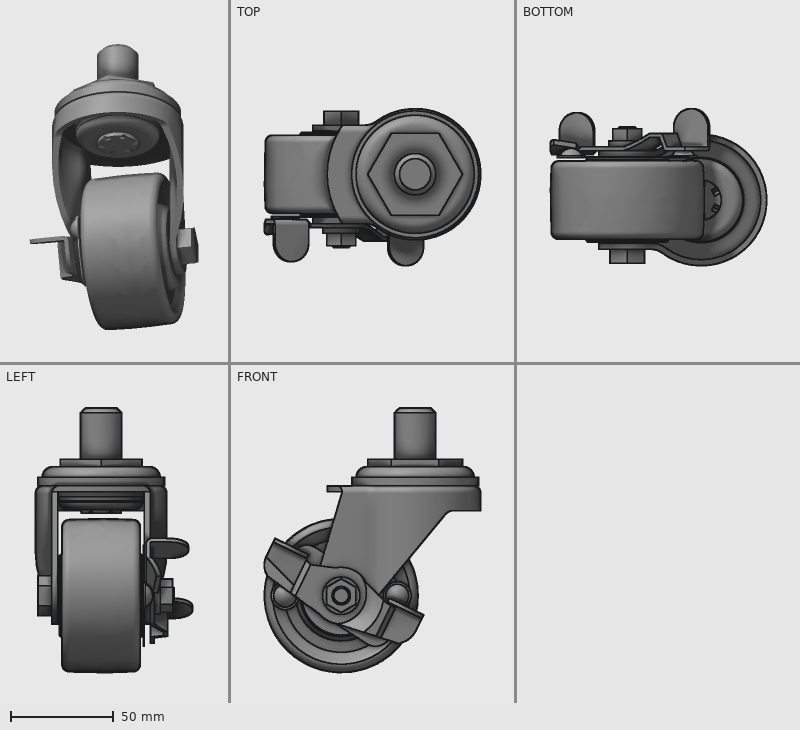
import cadquery as cq
import math


WHEEL_RADIUS = 37.5
AXLE_X = -36.0
AXLE_Z = WHEEL_RADIUS
AXLE_RADIUS = 5.0
TOTAL_HEIGHT = 129.0

SHEET = 3.0
FORK_RADIUS = 32.0
FORK_HALF_WIDTH = 24.0
FORK_TOP = 91.0
FORK_SKIRT_BOTTOM = 78.85
FORK_BEND = 3.6
LIP_RADIUS = 42.8
ARM_FLAT_END_X = -24.3
ARM_END_RADIUS = 13.9
ARM_FRONT_TOP_X = -35.6
SKIRT_CORNER_X = 16.2
SKIRT_CORNER_ROUND = 5.0
FORK_INNER = FORK_HALF_WIDTH - SHEET

STEM_RADIUS = 10.1
STEM_CHAMFER = 2.5
HEX_FLATS = 40.0
HEX_TOP = 104.0
HEX_BOTTOM = 100.4
CUP_RADIUS = 28.8
CUP_TOP_RADIUS = 23.0
RING_RADIUS = 30.9
RING_TOP = 95.2
LOWER_RACE_RADIUS = 20.8
LOWER_CUP_RADIUS = 20.3
LOWER_RACE_BOTTOM = 85.7
LOWER_GROOVE_TOP = 83.6
LOWER_GROOVE_BOTTOM = 83.0
LOWER_GROOVE_DEPTH = 1.0
LOWER_CUP_BOTTOM = 79.3
LOWER_CUP_BOTTOM_RADIUS = 15.5
RIVET_RADIUS = 9.8
RIVET_BOTTOM = 77.6
STAKE_COUNT = 6
STAKE_WIDTH = 3.3
STAKE_DEPTH = 1.1
STAKE_LENGTH = 3.0

TREAD_HALF_WIDTH = 19.1
TREAD_EDGE_HALF_WIDTH = 15.4
TREAD_EDGE_RADIUS = 37.1
TYRE_INNER_RADIUS = 33.4
RIM_STEP_RADIUS = 31.8
RIM_STEP_HALF_WIDTH = 18.0
RIM_RADIUS = 29.5
RIM_HALF_WIDTH = 16.8
WEB_OUTER_RADIUS = 27.6
WEB_INNER_RADIUS = 22.1
WEB_HALF_WIDTH = 15.5
HUB_RADIUS = 20.0
HUB_HALF_WIDTH = 20.5
HUB_CHAMFER = 0.8

BOLT_HEAD_FLATS = 17.0
BOLT_HEAD_END = 30.8
NUT_FLATS = 14.2
NUT_END = 34.8
FLANGE_RADIUS = 9.1
FLANGE_END = 28.8
BOLT_END = 35.7
BOLT_END_CHAMFER = 1.4

PEDAL_TILT = 26.0
PEDAL_SHEET = 2.0
PEDAL_HUB_RADIUS = 13.8
PEDAL_BASE = FORK_HALF_WIDTH
PEDAL_REAR_BASE = 22.0
NECK_U = 20.0
NECK_V = 7.0
END_SIDE_V = 0.5
END_CORNER_SETBACK = 4.9
END_BULGE = 0.64
REAR_TAB_START = 22.9
REAR_REACH = 41.2
REAR_CORNER_V = -7.2
REAR_TAB_TOP = 11.0
REAR_TAB_LENGTH = 42.6
FRONT_TAB_START = 21.6
FRONT_REACH = 40.2
FRONT_CORNER_V = -8.7
FRONT_TAB_TOP = 9.2
FRONT_TAB_LENGTH = 44.56
TAB_BEND = 2.8
RAMP_CENTRE_U = -3.0
RAMP_START_RADIUS = 15.0
RAMP_END_RADIUS = 23.5
RIDGE_END_U = 22.5
RETURN_END_U = 25.0
RETURN_SHIFT = 1.4
RIDGE_BASE = 30.5
FLAP_START = (-REAR_REACH, 0.9)
FLAP_DIRECTION = -19.4
FLAP_ANGLE = 39.0
FLAP_LENGTH = 12.0

SPRING_TILT = 32.9
SPRING_LENGTH = 62.0
SPRING_WIDTH = 25.8
SPRING_CORNER = 8.0
DOME_OFFSET = 27.3
DOME_RADIUS = 5.6
DOME_BASE_RADIUS = 6.8
DOME_BASE_END = 21.6
DOME_END = 25.2

QUARTER_BULGE = math.sqrt(0.5)
BEYOND = 100.0


def axle_cylinder(radius, y_from, y_to):
    """Cylinder on the wheel axle between two Y positions."""
    plane = cq.Workplane("XZ", origin=(AXLE_X, y_to, AXLE_Z))
    return plane.circle(radius).extrude(y_to - y_from)


def axle_hexagon(flats, y_from, y_to):
    """Hexagonal prism on the wheel axle with corners up and down."""
    corner_diameter = flats / math.cos(math.pi / 6)
    plane = cq.Workplane("XZ", origin=(AXLE_X, y_to, AXLE_Z))
    return plane.transformed(rotate=(0, 0, 90)).polygon(6, corner_diameter).extrude(y_to - y_from)


def bulge_point(face_end, side_end):
    """Middle of a rounded edge from an end face (smaller radius) to an outer side (larger radius)."""
    return (
        face_end[0] + QUARTER_BULGE * (side_end[0] - face_end[0]),
        side_end[1] + QUARTER_BULGE * (face_end[1] - side_end[1]),
    )


def lever_location(tilt):
    """Places a shape drawn in lever axes (u, v, w) on the axle, tilted down toward +X."""
    angle = math.radians(tilt)
    u_axis = (math.cos(angle), 0, -math.sin(angle))
    return cq.Plane(origin=(AXLE_X, 0, AXLE_Z), xDir=u_axis, normal=(0, -1, 0)).location


def fork_block(inset, top, front_x, bend):
    """Block with the fork's plan outline, moved inward by inset, running forward to front_x."""
    half_width = FORK_HALF_WIDTH - inset
    radius = FORK_RADIUS - inset
    flat_x = ARM_FLAT_END_X
    blend = (flat_x**2 + half_width**2 - radius**2) / (2 * (radius - half_width))
    blend_centre_y = half_width + blend
    scale = radius / (radius + blend)
    skirt_x = flat_x * scale
    skirt_y = blend_centre_y * scale
    start_angle = -math.pi / 2
    end_angle = math.atan2(-blend_centre_y, -flat_x)
    middle_angle = (start_angle + end_angle) / 2
    middle_x = flat_x + blend * math.cos(middle_angle)
    middle_y = blend_centre_y + blend * math.sin(middle_angle)
    block = (
        cq.Workplane("XY")
        .moveTo(front_x, half_width)
        .lineTo(flat_x, half_width)
        .threePointArc((middle_x, middle_y), (skirt_x, skirt_y))
        .threePointArc((radius, 0), (skirt_x, -skirt_y))
        .threePointArc((middle_x, -middle_y), (flat_x, -half_width))
        .lineTo(front_x, -half_width)
        .close()
        .extrude(top)
    )
    return block.faces(">Z").edges("not <X").fillet(bend)


def fork_side_profile():
    """Side outline of the fork: lip, raked arm, round arm end and sloping skirt edge."""
    top_z = FORK_TOP - SHEET
    arm_top = (ARM_FRONT_TOP_X, top_z)
    corner = (SKIRT_CORNER_X, FORK_SKIRT_BOTTOM)

    def tangent_angle(point, side):
        """Angle on the arm end where the straight edge from point touches it."""
        dx = point[0] - AXLE_X
        dz = point[1] - AXLE_Z
        return math.atan2(dz, dx) + side * math.acos(ARM_END_RADIUS / math.hypot(dx, dz))

    def on_arm_end(angle):
        return (AXLE_X + ARM_END_RADIUS * math.cos(angle), AXLE_Z + ARM_END_RADIUS * math.sin(angle))

    front = tangent_angle(arm_top, 1)
    rear = tangent_angle(corner, -1)
    bottom = -math.pi / 2
    profile = (
        cq.Workplane("XZ", origin=(0, BEYOND, 0))
        .moveTo(-BEYOND, FORK_TOP)
        .lineTo(-BEYOND, top_z)
        .lineTo(*arm_top)
        .lineTo(*on_arm_end(front))
        .threePointArc(on_arm_end(bottom), on_arm_end(rear))
        .lineTo(*corner)
        .lineTo(BEYOND, FORK_SKIRT_BOTTOM)
        .lineTo(BEYOND, FORK_TOP)
        .close()
        .extrude(2 * BEYOND)
    )
    near_corner = cq.selectors.BoxSelector(
        (corner[0] - 1, -2 * BEYOND, corner[1] - 1), (corner[0] + 1, 2 * BEYOND, corner[1] + 1))
    return profile.edges("|Y").edges(near_corner).fillet(SKIRT_CORNER_ROUND)


def make_fork():
    """Bent-sheet fork: top plate, round skirt and two arms."""
    front_x = -2 * LIP_RADIUS
    plate_underside = FORK_TOP - SHEET
    outside = fork_block(0, FORK_TOP, front_x, FORK_BEND)
    inside = fork_block(SHEET, plate_underside, front_x - SHEET, FORK_BEND - SHEET)
    beyond_lip = (
        cq.Workplane("XY", origin=(0, 0, plate_underside))
        .circle(BEYOND)
        .circle(LIP_RADIUS)
        .extrude(SHEET)
    )
    fork = outside.cut(inside).intersect(fork_side_profile()).cut(beyond_lip)
    stem_hole = cq.Workplane("XY").circle(STEM_RADIUS).extrude(TOTAL_HEIGHT)
    axle_hole = axle_cylinder(AXLE_RADIUS, -FORK_HALF_WIDTH, FORK_HALF_WIDTH)
    return fork.cut(stem_hole).cut(axle_hole)


def stake_notch():
    """V-shaped notch across the bottom rim of the rivet."""
    return (
        cq.Workplane("YZ", origin=(RIVET_RADIUS - STAKE_LENGTH, 0, RIVET_BOTTOM))
        .moveTo(-STAKE_WIDTH / 2, 0)
        .lineTo(0, STAKE_DEPTH)
        .lineTo(STAKE_WIDTH / 2, 0)
        .close()
        .extrude(2 * STAKE_LENGTH)
    )


def make_swivel_head():
    """Stem, cover cup and ring above the fork plate, bearing cup and rivet below it."""
    fork_underside = FORK_TOP - SHEET
    groove_radius = LOWER_CUP_RADIUS - LOWER_GROOVE_DEPTH
    cup_middle = bulge_point((CUP_TOP_RADIUS, HEX_BOTTOM), (CUP_RADIUS, RING_TOP))
    lower_middle = bulge_point(
        (LOWER_CUP_BOTTOM_RADIUS, LOWER_CUP_BOTTOM), (LOWER_CUP_RADIUS, LOWER_GROOVE_BOTTOM))
    turned = (
        cq.Workplane("XZ")
        .moveTo(0, TOTAL_HEIGHT)
        .lineTo(STEM_RADIUS - STEM_CHAMFER, TOTAL_HEIGHT)
        .lineTo(STEM_RADIUS, TOTAL_HEIGHT - STEM_CHAMFER)
        .lineTo(STEM_RADIUS, HEX_BOTTOM)
        .lineTo(CUP_TOP_RADIUS, HEX_BOTTOM)
        .threePointArc(cup_middle, (CUP_RADIUS, RING_TOP))
        .lineTo(RING_RADIUS, RING_TOP)
        .lineTo(RING_RADIUS, FORK_TOP)
        .lineTo(STEM_RADIUS, FORK_TOP)
        .lineTo(STEM_RADIUS, fork_underside)
        .lineTo(LOWER_RACE_RADIUS, fork_underside)
        .lineTo(LOWER_RACE_RADIUS, LOWER_RACE_BOTTOM)
        .lineTo(LOWER_CUP_RADIUS, LOWER_RACE_BOTTOM)
        .lineTo(LOWER_CUP_RADIUS, LOWER_GROOVE_TOP)
        .lineTo(groove_radius, LOWER_GROOVE_TOP)
        .lineTo(groove_radius, LOWER_GROOVE_BOTTOM)
        .lineTo(LOWER_CUP_RADIUS, LOWER_GROOVE_BOTTOM)
        .threePointArc(lower_middle, (LOWER_CUP_BOTTOM_RADIUS, LOWER_CUP_BOTTOM))
        .lineTo(RIVET_RADIUS, LOWER_CUP_BOTTOM)
        .lineTo(RIVET_RADIUS, RIVET_BOTTOM)
        .lineTo(0, RIVET_BOTTOM)
        .close()
        .revolve(360, (0, 0, 0), (0, 1, 0))
    )
    corner_diameter = HEX_FLATS / math.cos(math.pi / 6)
    hexagon = (
        cq.Workplane("XY", origin=(0, 0, HEX_BOTTOM))
        .polygon(6, corner_diameter)
        .extrude(HEX_TOP - HEX_BOTTOM)
    )
    head = turned.union(hexagon)
    for index in range(STAKE_COUNT):
        turn = (index + 0.5) * 360 / STAKE_COUNT
        head = head.cut(stake_notch().rotate((0, 0, 0), (0, 0, 1), turn))
    return head


def make_wheel():
    """Crowned tyre, dished web and hub, the same on both sides."""
    shoulder_middle = bulge_point(
        (TYRE_INNER_RADIUS, TREAD_HALF_WIDTH), (TREAD_EDGE_RADIUS, TREAD_EDGE_HALF_WIDTH))
    side = [
        (AXLE_RADIUS, HUB_HALF_WIDTH),
        (HUB_RADIUS - HUB_CHAMFER, HUB_HALF_WIDTH),
        (HUB_RADIUS, HUB_HALF_WIDTH - HUB_CHAMFER),
        (WEB_INNER_RADIUS, WEB_HALF_WIDTH),
        (WEB_OUTER_RADIUS, WEB_HALF_WIDTH),
        (RIM_RADIUS, RIM_HALF_WIDTH),
        (RIM_STEP_RADIUS, RIM_STEP_HALF_WIDTH),
        (TYRE_INNER_RADIUS, TREAD_HALF_WIDTH),
    ]
    opposite_side = [(radius, -half_width) for radius, half_width in reversed(side)]
    return (
        cq.Workplane("XY")
        .polyline(side)
        .threePointArc(shoulder_middle, (TREAD_EDGE_RADIUS, TREAD_EDGE_HALF_WIDTH))
        .threePointArc((WHEEL_RADIUS, 0), (TREAD_EDGE_RADIUS, -TREAD_EDGE_HALF_WIDTH))
        .threePointArc((shoulder_middle[0], -shoulder_middle[1]), opposite_side[0])
        .polyline(opposite_side)
        .close()
        .revolve(360, (0, 0, 0), (0, 1, 0))
        .translate((AXLE_X, 0, AXLE_Z))
    )


def make_axle_bolt():
    """Axle bolt with its hexagon head on +Y and its flanged nut on -Y."""
    shank = axle_cylinder(AXLE_RADIUS, -BOLT_END, FORK_HALF_WIDTH).faces("<Y").chamfer(BOLT_END_CHAMFER)
    head = axle_hexagon(BOLT_HEAD_FLATS, FORK_HALF_WIDTH, BOLT_HEAD_END)
    flange = axle_cylinder(FLANGE_RADIUS, -FLANGE_END, -PEDAL_BASE - PEDAL_SHEET)
    nut = axle_hexagon(NUT_FLATS, -NUT_END, -FLANGE_END)
    return shank.union(head).union(flange).union(nut)


def pedal_arm_outline(side, tab_start, reach, tab_top, corner_v):
    """Flat outline of one pedal arm; side is -1 for the rear arm and 1 for the front arm."""
    corner_u = reach - END_CORNER_SETBACK
    round_u = corner_u + END_BULGE * END_CORNER_SETBACK
    round_v = END_SIDE_V + END_BULGE * (corner_v - END_SIDE_V)
    return (
        cq.Workplane("XY")
        .moveTo(0, PEDAL_HUB_RADIUS)
        .lineTo(side * NECK_U, NECK_V)
        .lineTo(side * tab_start, tab_top - TAB_BEND)
        .lineTo(side * reach, tab_top - TAB_BEND)
        .lineTo(side * reach, END_SIDE_V)
        .threePointArc((side * round_u, round_v), (side * corner_u, corner_v))
        .lineTo(0, -PEDAL_HUB_RADIUS)
        .close()
        .extrude(BEYOND)
    )


def pedal_outline():
    """Tall block with the full pedal outline."""
    hub = cq.Workplane("XY").circle(PEDAL_HUB_RADIUS).extrude(BEYOND)
    rear = pedal_arm_outline(-1, REAR_TAB_START, REAR_REACH, REAR_TAB_TOP, REAR_CORNER_V)
    front = pedal_arm_outline(1, FRONT_TAB_START, FRONT_REACH, FRONT_TAB_TOP, FRONT_CORNER_V)
    return hub.union(rear).union(front)


def folded_sheet(line, top_shift=0.0):
    """Sheet following a line of (u, w) points; top_shift moves the upper bends along u."""
    last = len(line) - 1
    upper = [
        (u + (top_shift if 0 < index < last else 0), w + PEDAL_SHEET)
        for index, (u, w) in enumerate(line)
    ]
    section = line + upper[::-1]
    return cq.Workplane("XZ", origin=(0, BEYOND, 0)).polyline(section).close().extrude(2 * BEYOND)


def pedal_sheet():
    """Sheet stepped inward at the rear, and flared outward round the hub to a front ridge."""
    rear = folded_sheet([
        (-REAR_REACH, PEDAL_REAR_BASE),
        (-REAR_TAB_START, PEDAL_REAR_BASE),
        (-NECK_U, PEDAL_BASE),
        (0, PEDAL_BASE),
    ])
    ramp_line = [
        (0, PEDAL_BASE),
        (RAMP_START_RADIUS, PEDAL_BASE),
        (RAMP_END_RADIUS, RIDGE_BASE),
        (BEYOND, RIDGE_BASE),
    ]
    ramp_section = ramp_line + [(u, w + PEDAL_SHEET) for u, w in reversed(ramp_line)]
    flare = (
        cq.Workplane("XZ")
        .polyline(ramp_section)
        .close()
        .revolve(360, (0, 0, 0), (0, 1, 0))
        .translate((RAMP_CENTRE_U, 0, 0))
        .intersect(cq.Workplane("XY").box(RIDGE_END_U, BEYOND, BEYOND, centered=(False, True, False)))
    )
    front = folded_sheet([
        (RIDGE_END_U - PEDAL_SHEET, RIDGE_BASE),
        (RIDGE_END_U, RIDGE_BASE),
        (RETURN_END_U, PEDAL_BASE),
        (FRONT_REACH, PEDAL_BASE),
    ], RETURN_SHIFT)
    return rear.union(flare).union(front)


def pedal_tab(side, tab_start, reach, tab_top, base, length):
    """Round-ended foot tab folded outward along the top edge of one arm."""
    half_width = (reach - tab_start) / 2
    middle = side * (tab_start + half_width)
    straight_end = length - half_width
    end_outline = (
        cq.Workplane("XZ", origin=(middle, tab_top, 0))
        .moveTo(-half_width, base)
        .lineTo(half_width, base)
        .lineTo(half_width, straight_end)
        .threePointArc((0, length), (-half_width, straight_end))
        .close()
        .extrude(TAB_BEND)
    )
    inner_bend = TAB_BEND - PEDAL_SHEET
    bend_start = tab_top - TAB_BEND
    bend_end = base + TAB_BEND
    folded_strip = (
        cq.Workplane("YZ", origin=(middle - half_width, 0, 0))
        .moveTo(bend_start, base)
        .radiusArc((tab_top, bend_end), -TAB_BEND)
        .lineTo(tab_top, length)
        .lineTo(tab_top - PEDAL_SHEET, length)
        .lineTo(tab_top - PEDAL_SHEET, bend_end)
        .radiusArc((bend_start, base + PEDAL_SHEET), inner_bend)
        .close()
        .extrude(2 * half_width)
    )
    return folded_strip.intersect(end_outline)


def flap_fold(profile):
    """Prism with a section across the fold line of the rear flap: (distance past the fold, w)."""
    angle = math.radians(FLAP_DIRECTION)
    across = (math.sin(angle), -math.cos(angle), 0)
    along = (math.cos(angle), math.sin(angle), 0)
    start = (FLAP_START[0] - along[0] * BEYOND / 2, FLAP_START[1] - along[1] * BEYOND / 2, 0)
    normal = (-along[0], -along[1], 0)
    plane = cq.Plane(origin=start, xDir=across, normal=normal)
    return cq.Workplane(plane).polyline(profile).close().extrude(-BEYOND)


def rear_arm_space():
    """Block holding everything on the rear arm beyond the inward step."""
    middle_u = -REAR_TAB_START - BEYOND / 2
    return cq.Workplane("XY").box(BEYOND, BEYOND, BEYOND).translate((middle_u, 0, 0))


def make_pedal():
    """Brake pedal: formed sheet, two folded foot tabs and the outward-folded rear flap."""
    outline = pedal_outline()
    rear_space = rear_arm_space()
    past_fold = flap_fold([(0, 0), (BEYOND, 0), (BEYOND, BEYOND), (0, BEYOND)])
    rise = FLAP_LENGTH * math.tan(math.radians(FLAP_ANGLE))
    low = PEDAL_REAR_BASE
    high = PEDAL_REAR_BASE + PEDAL_SHEET / math.cos(math.radians(FLAP_ANGLE))
    flap = flap_fold([(0, low), (FLAP_LENGTH, low + rise), (FLAP_LENGTH, high + rise), (0, high)])
    sheet = pedal_sheet().cut(past_fold.intersect(rear_space))
    pedal = sheet.union(flap.intersect(rear_space)).intersect(outline)
    tabs = (
        (-1, REAR_TAB_START, REAR_REACH, REAR_TAB_TOP, PEDAL_REAR_BASE, REAR_TAB_LENGTH),
        (1, FRONT_TAB_START, FRONT_REACH, FRONT_TAB_TOP, PEDAL_BASE, FRONT_TAB_LENGTH),
    )
    for side, tab_start, reach, top, base, length in tabs:
        pedal = pedal.union(pedal_tab(side, tab_start, reach, top, base, length))
    axle_hole = cq.Workplane("XY").circle(AXLE_RADIUS).extrude(BEYOND)
    pedal = pedal.cut(axle_hole)
    return cq.Workplane(pedal.val().moved(lever_location(PEDAL_TILT)))


def make_spring_plate():
    """Thin plate between hub and fork arm, with a domed brake stud at each end."""
    plate = (
        cq.Workplane("XY", origin=(0, 0, HUB_HALF_WIDTH))
        .rect(SPRING_LENGTH, SPRING_WIDTH)
        .extrude(FORK_INNER - HUB_HALF_WIDTH)
        .edges("|Z")
        .fillet(SPRING_CORNER)
    )
    plate = cq.Workplane(plate.val().moved(lever_location(SPRING_TILT)))
    rise = DOME_END - DOME_BASE_END
    sphere_radius = (DOME_RADIUS**2 + rise**2) / (2 * rise)
    dome_middle_radius = DOME_RADIUS / 2
    dome_middle = DOME_END - sphere_radius + math.sqrt(sphere_radius**2 - dome_middle_radius**2)
    stud = (
        cq.Workplane("XY")
        .moveTo(0, -HUB_HALF_WIDTH)
        .lineTo(DOME_BASE_RADIUS, -HUB_HALF_WIDTH)
        .lineTo(DOME_BASE_RADIUS, -DOME_BASE_END)
        .lineTo(DOME_RADIUS, -DOME_BASE_END)
        .threePointArc((dome_middle_radius, -dome_middle), (0, -DOME_END))
        .close()
        .revolve(360, (0, 0, 0), (0, 1, 0))
    )
    for side in (-1, 1):
        plate = plate.union(stud.translate((AXLE_X + side * DOME_OFFSET, 0, AXLE_Z)))
    return plate.cut(axle_cylinder(AXLE_RADIUS, -DOME_END, 0))


swivel_head = make_swivel_head()
fork = make_fork()
wheel = make_wheel()
axle_bolt = make_axle_bolt()
spring_plate = make_spring_plate()
pedal = make_pedal().cut(spring_plate).cut(fork)

result = cq.Compound.makeCompound([
    swivel_head.solids().val(),
    fork.solids().val(),
    wheel.solids().val(),
    axle_bolt.solids().val(),
    spring_plate.solids().val(),
    pedal.solids().val(),
])